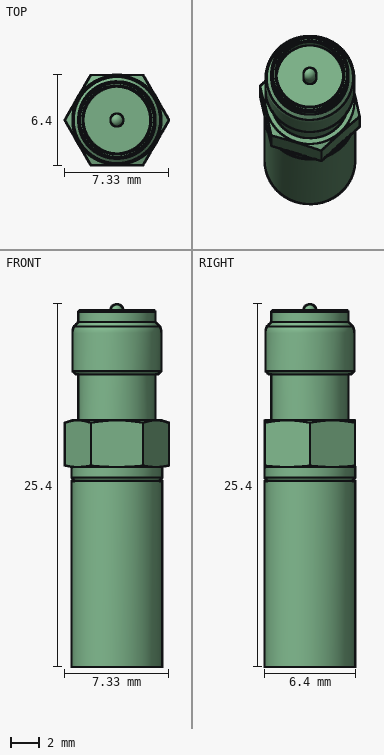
import cadquery as cq
import math

total_height = 25.45
sleeve_top = 13.03
groove_top = 13.28
hex_bottom = 14.02
hex_top = 17.3
collar_bottom = 20.5
collar_chamfer = 0.25
round_bottom = 23.45
round_top = 23.87
shoulder_top = 24.18
rim_top = 25.02
socket_floor = 23.92

sleeve_diameter = 6.4
sleeve_radius = sleeve_diameter / 2
groove_radius = 2.98
neck_radius = 2.72
collar_radius = 3.13
shoulder_radius = 3.03
socket_radius = 2.35
pin_radius = 0.45

rim_chamfer = 0.13
socket_chamfer = 0.08

hex_corner_width = 7.33
hex_face_radius = 3.13
hex_top_drop = 0.18
hex_bottom_rise = 0.1


def make_body():
    """Revolve the sleeve, undercut groove, neck, threaded collar and open socket."""
    round_step = collar_radius - shoulder_radius
    round_height = round_top - round_bottom
    round_radius = (round_step**2 + round_height**2) / (2 * round_step)
    half_angle = math.asin(round_height / round_radius) / 2
    arc_center_radius = collar_radius - round_radius
    arc_middle = (
        arc_center_radius + round_radius * math.cos(half_angle),
        round_bottom + round_radius * math.sin(half_angle),
    )
    return (
        cq.Workplane("XZ")
        .lineTo(sleeve_radius, 0)
        .lineTo(sleeve_radius, sleeve_top)
        .lineTo(groove_radius, sleeve_top)
        .lineTo(sleeve_radius, groove_top)
        .lineTo(sleeve_radius, hex_bottom)
        .lineTo(neck_radius, hex_bottom)
        .lineTo(neck_radius, collar_bottom)
        .lineTo(collar_radius - collar_chamfer, collar_bottom)
        .lineTo(collar_radius, collar_bottom + collar_chamfer)
        .lineTo(collar_radius, round_bottom)
        .threePointArc(arc_middle, (shoulder_radius, round_top))
        .lineTo(neck_radius, shoulder_top)
        .lineTo(neck_radius, rim_top - rim_chamfer)
        .lineTo(neck_radius - rim_chamfer, rim_top)
        .lineTo(socket_radius + socket_chamfer, rim_top)
        .lineTo(socket_radius, rim_top - socket_chamfer)
        .lineTo(socket_radius, socket_floor)
        .lineTo(0, socket_floor)
        .close()
        .revolve(360, (0, 0, 0), (0, 1, 0))
    )


def make_hex_nut():
    """Trim the corners of a hexagonal prism with a conical bevel at each end."""
    corner_radius = hex_corner_width / 2
    prism = (
        cq.Workplane("XY")
        .workplane(offset=hex_bottom)
        .polygon(6, hex_corner_width)
        .extrude(hex_top - hex_bottom)
    )
    bevel_envelope = (
        cq.Workplane("XZ")
        .moveTo(0, hex_bottom)
        .lineTo(hex_face_radius, hex_bottom)
        .lineTo(corner_radius, hex_bottom + hex_bottom_rise)
        .lineTo(corner_radius, hex_top - hex_top_drop)
        .lineTo(hex_face_radius, hex_top)
        .lineTo(0, hex_top)
        .close()
        .revolve(360, (0, 0, 0), (0, 1, 0))
    )
    return prism.intersect(bevel_envelope)


def make_pin():
    """Make the center contact, a round pin with a hemispherical tip."""
    dome_base = total_height - pin_radius
    return (
        cq.Workplane("XZ")
        .moveTo(0, socket_floor)
        .lineTo(pin_radius, socket_floor)
        .lineTo(pin_radius, dome_base)
        .radiusArc((0, total_height), -pin_radius)
        .close()
        .revolve(360, (0, 0, 0), (0, 1, 0))
    )


result = make_body().union(make_hex_nut()).union(make_pin())